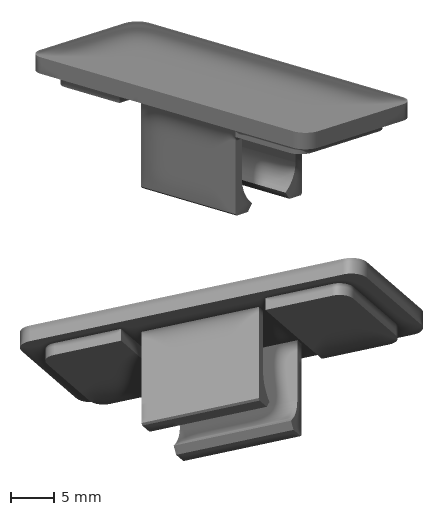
import cadquery as cq
import math

plate_length = 44.55
plate_width = 18.15
plate_thickness = 2.0
plate_corner_radius = 2.0

pads_length = 39.55
pads_width = 14.7
pad_height = 1.5
pad_corner_radius = 1.8
pads_gap = 18.6

total_height = 13.9
leg_length = 15.15
leg_outer_y = 5.55
leg_thickness = 1.1
leg_edge_chamfer = 0.22
hook_tip_y = 2.8
hook_tip_height = 0.9
hook_foot_y = 3.47
hook_arc_radius = 4.0
hook_slope = math.radians(45)


def rounded_block(length, width, height, radius, top_z):
    """Block centred in X and Y, hanging down from top_z, with rounded vertical edges."""
    block = cq.Workplane("XY").workplane(offset=top_z - height).rect(length, width).extrude(height)
    return block.edges("|Z").fillet(radius)


def locating_pads():
    """Rounded block split into two end pads by a central gap."""
    block = rounded_block(pads_length, pads_width, pad_height, pad_corner_radius, -plate_thickness)
    gap = cq.Workplane("XY").box(pads_gap, pads_width, 2 * total_height)
    return block.cut(gap)


def clip_leg():
    """Leg on the +Y side; an arc and a sloped flat lead from its inner face to the hook tip."""
    bottom_z = -total_height
    inner_y = leg_outer_y - leg_thickness
    tip_z = bottom_z + hook_tip_height

    def arc_point(angle):
        inward = hook_arc_radius * (1 - math.cos(angle))
        drop = hook_arc_radius * math.sin(angle)
        return inner_y - inward, arc_start_z - drop

    arc_inward = hook_arc_radius * (1 - math.cos(hook_slope))
    arc_drop = hook_arc_radius * math.sin(hook_slope)
    flat_inward = inner_y - arc_inward - hook_tip_y
    arc_start_z = tip_z + flat_inward / math.tan(hook_slope) + arc_drop

    profile = (
        cq.Workplane("YZ", origin=(-leg_length / 2, 0, 0))
        .moveTo(leg_outer_y, -plate_thickness)
        .lineTo(leg_outer_y, bottom_z + leg_edge_chamfer)
        .lineTo(leg_outer_y - leg_edge_chamfer, bottom_z)
        .lineTo(hook_foot_y, bottom_z)
        .lineTo(hook_tip_y, tip_z)
        .lineTo(*arc_point(hook_slope))
        .threePointArc(arc_point(hook_slope / 2), (inner_y, arc_start_z))
        .lineTo(inner_y, -plate_thickness)
        .close()
    )
    return profile.extrude(leg_length)


plate = rounded_block(plate_length, plate_width, plate_thickness, plate_corner_radius, 0)
leg = clip_leg()
result = plate.union(locating_pads()).union(leg).union(leg.mirror("XZ"))